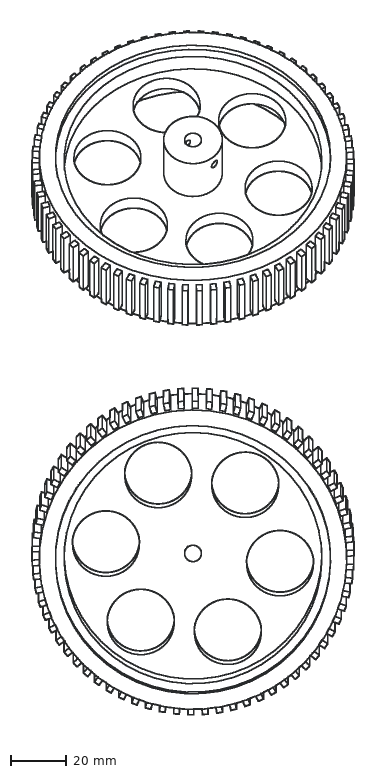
import cadquery as cq
import math

full_turn = 360

outer_radius = 58.1
tyre_width = 26.5

tread_radius = 55.4
tyre_bore_radius = 49.6
tooth_count = 70
tooth_width = 2.1
tooth_end_margin = 2.8
tooth_root_overlap = 0.6

rim_inner_radius = 46.5
rim_recess = 2.5
web_thickness = 6.3
hub_radius = 10.6
hub_rise = 10.0
bore_radius = 3.0
window_count = 6
first_window_angle = 90
window_radius = 12.1
window_circle_radius = 31.6
screw_hole_radius = 1.5
screw_hole_depth = 5.0

web_bottom = (tyre_width - web_thickness) / 2
hub_top = tyre_width + hub_rise


def cylinder(radius, bottom, top):
    return cq.Workplane("XY").workplane(offset=bottom).circle(radius).extrude(top - bottom)


def make_tooth(angle):
    """A straight bar along Z with one flank on a radial plane."""
    tip = math.sqrt(outer_radius**2 - tooth_width**2)
    root = tread_radius - tooth_root_overlap
    return (
        cq.Workplane("XY")
        .box(tip - root, tooth_width, tyre_width - 2 * tooth_end_margin, centered=False)
        .translate((root, 0, tooth_end_margin))
        .rotate((0, 0, 0), (0, 0, 1), angle)
    )


def make_tyre():
    """A ring with a row of teeth around its tread."""
    ring = cylinder(tread_radius, 0, tyre_width).cut(cylinder(tyre_bore_radius, 0, tyre_width))
    teeth = [make_tooth(i * full_turn / tooth_count).val() for i in range(tooth_count)]
    return cq.Workplane(ring.val().fuse(*teeth))


def make_wheel():
    """A rim, a pierced web and a raised hub with a bore and a cross screw hole."""
    rim_bottom = rim_recess
    rim_top = tyre_width - rim_recess
    rim = cylinder(tyre_bore_radius, rim_bottom, rim_top).cut(
        cylinder(rim_inner_radius, rim_bottom, rim_top)
    )
    web = cylinder(tyre_bore_radius, web_bottom, web_bottom + web_thickness)
    hub = cylinder(hub_radius, web_bottom, hub_top)
    windows = (
        cq.Workplane("XY")
        .polarArray(window_circle_radius, first_window_angle, full_turn, window_count)
        .circle(window_radius)
        .extrude(tyre_width)
    )
    bore = cylinder(bore_radius, 0, hub_top)
    screw_hole = (
        cq.Workplane("YZ")
        .center(0, hub_top - screw_hole_depth)
        .circle(screw_hole_radius)
        .extrude(hub_radius, both=True)
    )
    return rim.union(web).union(hub).cut(windows).cut(bore).cut(screw_hole)


tyre = make_tyre()
wheel = make_wheel()

result = cq.Compound.makeCompound([tyre.val(), wheel.val()])